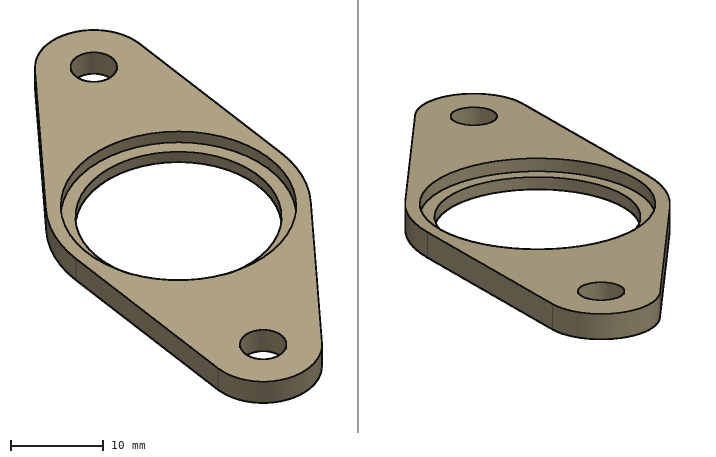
import cadquery as cq
import math

length = 63.5
width = 28.55
thickness = 3.0
bolt_spacing = 50.8
bolt_hole_diameter = 5.0
bore_diameter = 22.2
recess_diameter = 25.4
recess_depth = 1.5

bolt_offset = bolt_spacing / 2
center_radius = width / 2
end_radius = length / 2 - bolt_offset

normal_x = (center_radius - end_radius) / bolt_offset
normal_y = math.sqrt(1 - normal_x**2)
center_tangent = (center_radius * normal_x, center_radius * normal_y)
end_tangent = (bolt_offset + end_radius * normal_x, end_radius * normal_y)


def mirrored(point, x_sign, y_sign):
    return (x_sign * point[0], y_sign * point[1])


def flange_plate():
    """Diamond plate with rounded ends and a rounded middle."""
    return (
        cq.Workplane("XY")
        .moveTo(*mirrored(center_tangent, -1, 1))
        .threePointArc((0, center_radius), center_tangent)
        .lineTo(*end_tangent)
        .threePointArc((length / 2, 0), mirrored(end_tangent, 1, -1))
        .lineTo(*mirrored(center_tangent, 1, -1))
        .threePointArc((0, -center_radius), mirrored(center_tangent, -1, -1))
        .lineTo(*mirrored(end_tangent, -1, -1))
        .threePointArc((-length / 2, 0), mirrored(end_tangent, -1, 1))
        .close()
        .extrude(thickness)
    )


result = (
    flange_plate()
    .faces(">Z")
    .workplane(origin=(0, 0, thickness))
    .cboreHole(bore_diameter, recess_diameter, recess_depth)
    .pushPoints([(-bolt_offset, 0), (bolt_offset, 0)])
    .hole(bolt_hole_diameter)
)